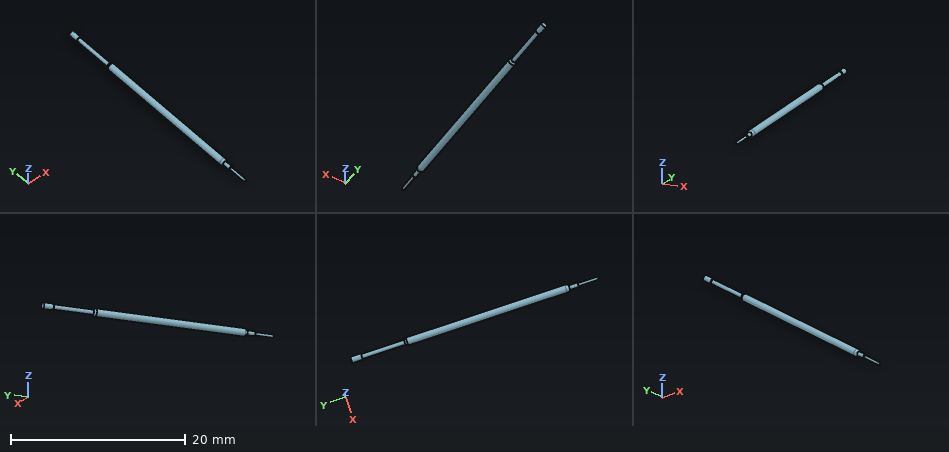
import cadquery as cq
import math

total_length = 30.0

barrel_radius = 0.5
head_radius = 0.4
plunger_radius = 0.32
collar_radius = 0.3
pin_radius = 0.21

pin_length = 2.48
collar_shoulder_to_barrel = 1.46
barrel_length = 19.26
barrel_taper_length = 0.3
head_length = 1.3

barrel_start_y = pin_length + collar_shoulder_to_barrel
barrel_end_y = barrel_start_y + barrel_length
plunger_start_y = barrel_end_y + barrel_taper_length
head_start_y = total_length - head_length


def dome_point(sphere_radius, equator_y, angle):
    """Point (radius, Y) on a dome facing -Y, at an angle measured from its equator."""
    return sphere_radius * math.cos(angle), equator_y - sphere_radius * math.sin(angle)


def make_probe():
    """Revolve the half profile (radius, Y) around the Y axis."""
    pin_tip_middle = dome_point(pin_radius, pin_radius, math.pi / 4)

    dome_end_angle = math.acos(collar_radius / barrel_radius)
    barrel_dome_end = dome_point(barrel_radius, barrel_start_y, dome_end_angle)
    barrel_dome_middle = dome_point(barrel_radius, barrel_start_y, dome_end_angle / 2)

    profile = (
        cq.Workplane("XY")
        .moveTo(0, 0)
        .threePointArc(pin_tip_middle, (pin_radius, pin_radius))
        .lineTo(pin_radius, pin_length)
        .lineTo(collar_radius, pin_length)
        .lineTo(*barrel_dome_end)
        .threePointArc(barrel_dome_middle, (barrel_radius, barrel_start_y))
        .lineTo(barrel_radius, barrel_end_y)
        .lineTo(plunger_radius, plunger_start_y)
        .lineTo(plunger_radius, head_start_y)
        .lineTo(head_radius, head_start_y)
        .lineTo(head_radius, total_length)
        .lineTo(0, total_length)
        .close()
    )
    return profile.revolve(360, (0, 0, 0), (0, 1, 0))


result = make_probe()